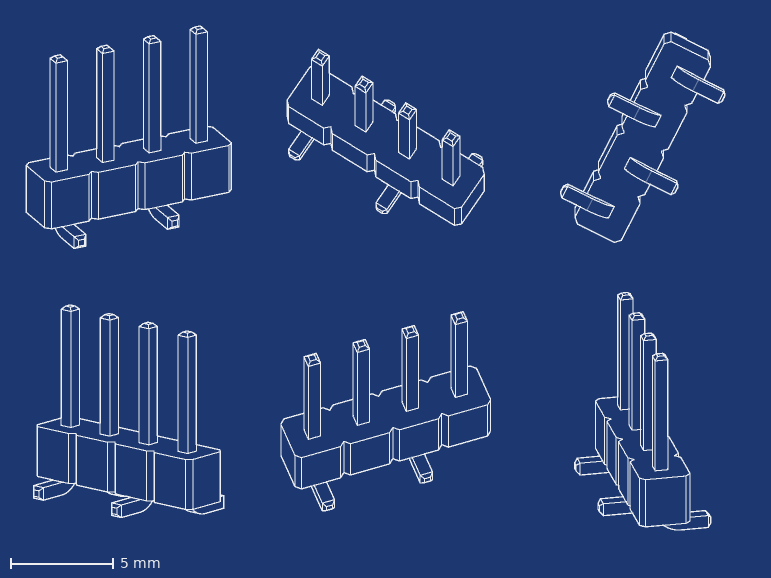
import cadquery as cq

pin_count = 4
pitch = 2.54
row_length = pin_count * pitch
total_height = 9.3
lead_span = 5.0

housing_width = pitch
housing_height = 2.52
corner_chamfer = 0.25

pin_width = 0.64
pin_half = pin_width / 2
tip_chamfer = pin_width / 4
bend_inner_radius = 0.65
bend_outer_radius = bend_inner_radius + pin_width
post_height = 6.01

post_top = housing_height + post_height
lead_bottom = post_top - total_height
lead_top = lead_bottom + pin_width
lead_reach = lead_span / 2
bend_center_x = pin_half + bend_inner_radius
bend_center_z = lead_top + bend_inner_radius


def housing_cell(y):
    """One chamfered block of the housing, centred on the pin at y."""
    block = cq.Workplane("XY").box(housing_width, pitch, housing_height, centered=(True, True, False))
    return block.edges("|Z").chamfer(corner_chamfer).translate((0, y, 0))


def bent_pin(y):
    """Square pin rising along +Z, with its foot bent towards +X and both tips chamfered."""
    profile = (
        cq.Workplane("XZ")
        .moveTo(-pin_half, post_top)
        .lineTo(-pin_half, bend_center_z)
        .radiusArc((bend_center_x, lead_bottom), -bend_outer_radius)
        .lineTo(lead_reach, lead_bottom)
        .lineTo(lead_reach, lead_top)
        .lineTo(bend_center_x, lead_top)
        .radiusArc((pin_half, bend_center_z), bend_inner_radius)
        .lineTo(pin_half, post_top)
        .close()
    )
    pin = profile.extrude(pin_half, both=True)
    pin = pin.faces(">Z").chamfer(tip_chamfer)
    pin = pin.faces(">X").chamfer(tip_chamfer)
    return pin.translate((0, y, 0))


def pin_position(index):
    """Y of a pin, counted from the -Y end of the row."""
    return (index + 1) * pitch - (row_length + pitch) / 2


result = cq.Workplane("XY")
for index in range(pin_count):
    result = result.union(housing_cell(pin_position(index)))

for index in range(pin_count):
    pin = bent_pin(pin_position(index))
    if index % 2 == 1:
        pin = pin.mirror("YZ")
    result = result.union(pin)